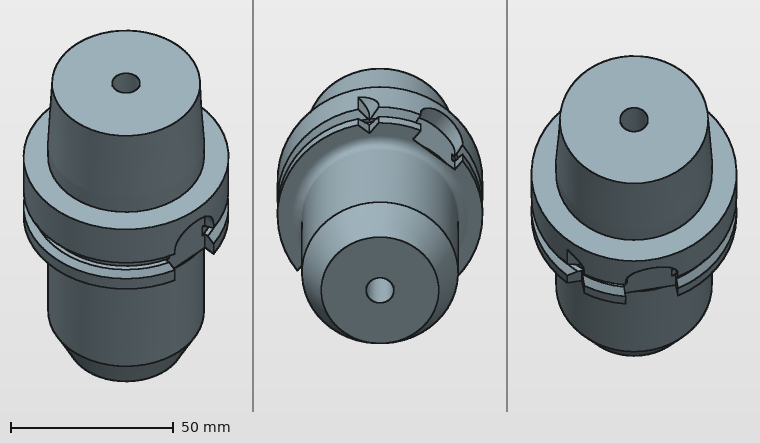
import cadquery as cq

TOTAL_HEIGHT = 112.0
NOSE_CONE_TOP = 12.7
FLANGE_BOTTOM = 54.0
COLLAR_TOP = 80.0
SHANK_TAPER_START = 86.2

BODY_RADIUS = 24.0
NOSE_RADIUS = 18.0
SHANK_TOP_RADIUS = 22.7
FLANGE_RADIUS = 31.5
BORE_RADIUS = 4.3
FLANGE_FILLET = 3.0

GROOVE_RADIUS = 27.4
GROOVE_BOTTOM = 59.9
GROOVE_TOP = 63.6
LOWER_LIP_HEIGHT = 1.5
UPPER_LIP_HEIGHT = 1.8
LOWER_LIP_RADIUS = 29.0
UPPER_LIP_RADIUS = 28.5

SLOT_WIDTH = 16.4
SLOT_TOP = 74.9
SLOT_FLOOR = 26.5
NOTCH_WALL_X = -19.8
NOTCH_FLOOR_Y = 19.9

CUT_CLEARANCE = 5.6
CUT_LIMIT = FLANGE_RADIUS + CUT_CLEARANCE


def turned_body():
    """Revolve the half profile, with a concave fillet under the flange."""
    fillet_outer = BODY_RADIUS + FLANGE_FILLET
    fillet_start = FLANGE_BOTTOM - FLANGE_FILLET
    profile = (
        cq.Workplane("XZ")
        .moveTo(BORE_RADIUS, 0)
        .lineTo(NOSE_RADIUS, 0)
        .lineTo(BODY_RADIUS, NOSE_CONE_TOP)
        .lineTo(BODY_RADIUS, fillet_start)
        .radiusArc((fillet_outer, FLANGE_BOTTOM), FLANGE_FILLET)
        .lineTo(FLANGE_RADIUS, FLANGE_BOTTOM)
        .lineTo(FLANGE_RADIUS, GROOVE_BOTTOM - LOWER_LIP_HEIGHT)
        .lineTo(LOWER_LIP_RADIUS, GROOVE_BOTTOM)
        .lineTo(GROOVE_RADIUS, GROOVE_BOTTOM)
        .lineTo(GROOVE_RADIUS, GROOVE_TOP)
        .lineTo(UPPER_LIP_RADIUS, GROOVE_TOP)
        .lineTo(FLANGE_RADIUS, GROOVE_TOP + UPPER_LIP_HEIGHT)
        .lineTo(FLANGE_RADIUS, COLLAR_TOP)
        .lineTo(BODY_RADIUS, COLLAR_TOP)
        .lineTo(BODY_RADIUS, SHANK_TAPER_START)
        .lineTo(SHANK_TOP_RADIUS, TOTAL_HEIGHT)
        .lineTo(BORE_RADIUS, TOTAL_HEIGHT)
        .close()
    )
    return profile.revolve(360, (0, 0, 0), (0, 1, 0))


def slot_cutter(start_x, end_x, center_y):
    """Round-topped cutter running along X and open at the flange underside."""
    half_width = SLOT_WIDTH / 2
    spring_height = SLOT_TOP - half_width
    return (
        cq.Workplane("YZ", origin=(start_x, center_y, 0))
        .moveTo(-half_width, FLANGE_BOTTOM)
        .lineTo(-half_width, spring_height)
        .threePointArc((0, SLOT_TOP), (half_width, spring_height))
        .lineTo(half_width, FLANGE_BOTTOM)
        .close()
        .extrude(end_x - start_x)
    )


result = turned_body()

result = result.cut(slot_cutter(-CUT_LIMIT, -SLOT_FLOOR, 0))
result = result.cut(slot_cutter(SLOT_FLOOR, CUT_LIMIT, 0))

notch_center_y = NOTCH_FLOOR_Y + SLOT_WIDTH / 2
result = result.cut(slot_cutter(-CUT_LIMIT, NOTCH_WALL_X, notch_center_y))